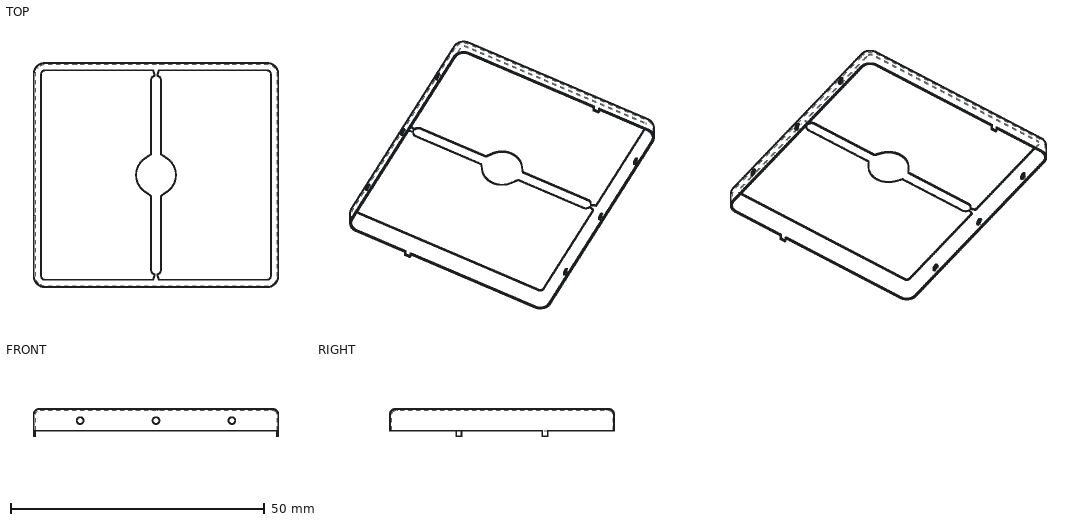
import cadquery as cq
import math

length = 48.3
width = 44.3
frame_height = 4.35
wall = 0.3
corner_radius = 2.2
top_round = 1.1
lip_reach = 1.5

hole_diameter = 1.3
hole_spacing = 14.95
hole_drop = 2.3

pin_length = 1.05
pin_width = 1.1
pin_offset = 8.5

disc_radius = 3.95
bar_half_width = 1.0
flare_start = 4.1
bar_end = 18.65
neck_half_width = 0.25
root_half_width = 0.6

opening_half_width = width / 2 - lip_reach


def rounded_block(inset, bottom, top):
    """Upright block whose outline is the frame outline moved inward by inset."""
    return (
        cq.Workplane("XY", origin=(0, 0, bottom))
        .rect(length - 2 * inset, width - 2 * inset)
        .extrude(top - bottom)
        .edges("|Z")
        .fillet(corner_radius - inset)
    )


def make_frame():
    outside = rounded_block(0, 0, frame_height).faces(">Z").edges().fillet(top_round)
    cavity = rounded_block(wall, 0, frame_height - wall)
    cavity = cavity.faces(">Z").edges().fillet(top_round - wall)
    opening = rounded_block(lip_reach, 0, frame_height)
    return outside.cut(cavity).cut(opening)


def make_holes():
    return (
        cq.Workplane("XZ", origin=(0, 0, frame_height - hole_drop))
        .rarray(hole_spacing, 0.5, 3, 1)
        .circle(hole_diameter / 2)
        .extrude(width / 2, both=True)
    )


def make_pin(side):
    """Pin under the wall at +X (side = 1) or -X (side = -1), set diagonally opposite."""
    x = side * (length - wall) / 2
    y = side * pin_offset
    root_height = wall
    return (
        cq.Workplane("XY", origin=(x, y, -pin_length))
        .rect(wall, pin_width)
        .extrude(pin_length + root_height)
    )


def make_arm():
    """Half of the bridge, from its centre to the lip on the +Y side."""
    start_distance = math.hypot(bar_half_width, flare_start)
    touch_angle = math.atan2(flare_start, bar_half_width) - math.acos(disc_radius / start_distance)
    touch_x = disc_radius * math.cos(touch_angle)
    touch_y = disc_radius * math.sin(touch_angle)

    neck_y = bar_end + math.sqrt(bar_half_width**2 - neck_half_width**2)
    tip_mid = bar_half_width * math.sqrt(0.5)
    lip_y = opening_half_width + wall / 2
    return (
        cq.Workplane("XY", origin=(0, 0, frame_height - wall))
        .moveTo(0, 0)
        .lineTo(touch_x, touch_y)
        .lineTo(bar_half_width, flare_start)
        .lineTo(bar_half_width, bar_end)
        .threePointArc((tip_mid, bar_end + tip_mid), (neck_half_width, neck_y))
        .lineTo(root_half_width, opening_half_width)
        .lineTo(root_half_width, lip_y)
        .lineTo(0, lip_y)
        .close()
        .extrude(wall)
        .mirror("YZ", union=True)
    )


def make_bridge():
    disc = cq.Workplane("XY", origin=(0, 0, frame_height - wall)).circle(disc_radius).extrude(wall)
    arm = make_arm()
    return disc.union(arm).union(arm.mirror("XZ"))


result = make_frame().cut(make_holes()).union(make_bridge())
for side in (-1, 1):
    result = result.union(make_pin(side))